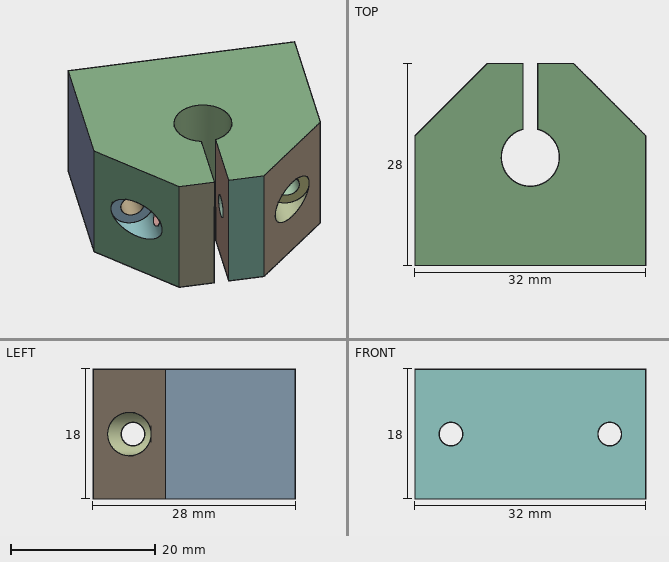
import cadquery as cq

width = 32.0
depth = 28.0
height = 18.0
corner_cut = 10.0

bore_diameter = 8.0
bore_y = 15.0
slot_width = 2.0

screw_hole_diameter = 3.23
head_pocket_diameter = 6.0
mount_x = (width - corner_cut) / 2
pocket_floor_y = depth - (corner_cut + head_pocket_diameter) / 2

clamp_hole_y = 22.5


def cylinder_along_y(diameter, x, y_start, y_end):
    """Cylinder at mid height, running from y_start to y_end."""
    start = cq.Vector(x, y_start, 0)
    direction = cq.Vector(0, 1, 0)
    return cq.Workplane(cq.Solid.makeCylinder(diameter / 2, y_end - y_start, start, direction))


block = (
    cq.Workplane("XY")
    .box(width, depth, height)
    .translate((0, depth / 2, 0))
    .edges("|Z and >Y")
    .chamfer(corner_cut)
)

bore = cq.Workplane("XY").center(0, bore_y).circle(bore_diameter / 2).extrude(height / 2, both=True)
slot_length = depth - bore_y
slot = cq.Workplane("XY").box(slot_width, slot_length, height).translate((0, bore_y + slot_length / 2, 0))
body = block.cut(bore).cut(slot)

for x in (-mount_x, mount_x):
    body = body.cut(cylinder_along_y(screw_hole_diameter, x, 0, depth))
    body = body.cut(cylinder_along_y(head_pocket_diameter, x, pocket_floor_y, depth))

clamp_hole = (
    cq.Workplane("YZ")
    .center(clamp_hole_y, 0)
    .circle(screw_hole_diameter / 2)
    .extrude(width / 2, both=True)
)

result = body.cut(clamp_hole)